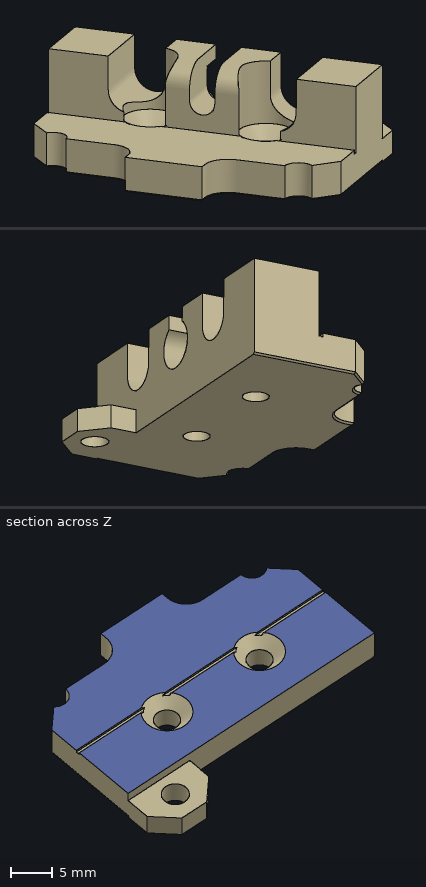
import cadquery as cq

width = 40.0
back_y = 22.0
base_height = 4.5
tab_width = 10.0
tab_depth = 4.0
tab_fillet = 3.0
corner_cut = 4.0
notch_radius = 1.75
bottom_chamfer = 0.25

total_height = 12.5
block_depth = 9.0
groove_width = 0.5
groove_depth = 0.5

ear_width = 10.0
ear_length = 6.5
ear_height = 3.0
ear_cut = 3.0
ear_hole_diameter = 3.4
ear_hole_setback = 3.5

channel_spacing = 19.05
channel_width = 5.4
channel_floor = 5.5
slot_width = 3.3
slot_floor = 6.4
post_fillet = 3.0
counterbore_diameter = 6.0
counterbore_depth = 3.0

screw_spacing = 15.0
screw_y = 15.0
screw_diameter = 3.3
screw_head_diameter = 6.7

half_width = width / 2
block_front_y = back_y - block_depth
through = 2 * total_height


def box(x_min, x_max, y_min, y_max, z_min, z_max):
    size = (x_max - x_min, y_max - y_min, z_max - z_min)
    return cq.Workplane("XY").box(*size, centered=False).translate((x_min, y_min, z_min))


def rod(diameter, x, y):
    """Vertical cylinder passing through the whole part."""
    return cq.Workplane("XY").center(x, y).circle(diameter / 2).extrude(through)


def make_base():
    half_tab = tab_width / 2
    plate = (
        cq.Workplane("XY")
        .moveTo(-half_width, back_y)
        .lineTo(-half_width, 2 * tab_depth)
        .lineTo(-half_width + corner_cut, tab_depth)
        .lineTo(-half_tab, tab_depth)
        .lineTo(-half_tab, 0)
        .lineTo(half_tab, 0)
        .lineTo(half_tab, tab_depth)
        .lineTo(half_width - corner_cut, tab_depth)
        .lineTo(half_width, 2 * tab_depth)
        .lineTo(half_width, back_y)
        .close()
        .extrude(base_height)
    )
    inner_corners = cq.selectors.BoxSelector(
        (-half_tab - 0.4, tab_depth - 0.4, 0), (half_tab + 0.4, tab_depth + 0.4, base_height)
    )
    plate = plate.edges("|Z").edges(inner_corners).fillet(tab_fillet)
    for side in (-1, 1):
        plate = plate.cut(rod(2 * notch_radius, side * (half_width - corner_cut), tab_depth))
    return plate.faces("<Z").edges().edges("not(>Y)").chamfer(bottom_chamfer)


def make_block():
    return box(-half_width, half_width, block_front_y, back_y, base_height, total_height)


def make_groove():
    return box(
        -half_width, half_width, block_front_y - groove_width, block_front_y,
        base_height - groove_depth, base_height,
    )


def make_ear():
    ear_end_y = back_y + ear_length
    ear = box(half_width - ear_width, half_width, back_y, ear_end_y, 0, ear_height)
    ear = ear.edges("|Z and >Y").chamfer(ear_cut)
    return ear.cut(rod(ear_hole_diameter, half_width - ear_width / 2, ear_end_y - ear_hole_setback))


def make_channel(x, channel_size, floor):
    """U-shaped cutter along Y, open at the top of the block."""
    radius = channel_size / 2
    bottom = (
        cq.Workplane("XZ", origin=(x, back_y, floor + radius))
        .circle(radius)
        .extrude(block_depth)
    )
    opening = box(x - radius, x + radius, block_front_y, back_y, floor + radius, total_height)
    return bottom.union(opening)


def make_counterbore():
    """Round recess in the back face, concentric with the floor of the middle slot."""
    return (
        cq.Workplane("XZ", origin=(0, back_y, slot_floor + slot_width / 2))
        .circle(counterbore_diameter / 2)
        .extrude(counterbore_depth)
    )


def make_post_rounding():
    """Cutter that rounds the top front edge of the posts between the screws."""
    half_span = screw_spacing / 2
    arc_z = total_height - post_fillet
    arc_y = block_front_y + post_fillet
    corner = box(-half_span, half_span, block_front_y, arc_y, arc_z, total_height)
    round_bar = (
        cq.Workplane("YZ", origin=(-half_span, arc_y, arc_z))
        .circle(post_fillet)
        .extrude(screw_spacing)
    )
    return corner.cut(round_bar)


def make_screw_cutter(x):
    """Through hole, 90 degree countersink and head clearance above the base."""
    head_radius = screw_head_diameter / 2
    screw_radius = screw_diameter / 2
    return (
        cq.Workplane("XZ", origin=(x, screw_y, 0))
        .lineTo(screw_radius, 0)
        .lineTo(screw_radius, base_height - head_radius + screw_radius)
        .lineTo(head_radius, base_height)
        .lineTo(head_radius, total_height)
        .lineTo(0, total_height)
        .close()
        .revolve(360, (0, 0), (0, 1))
    )


result = make_base().union(make_block()).union(make_ear())
result = result.cut(make_groove()).cut(make_post_rounding())
result = result.cut(make_channel(0, slot_width, slot_floor)).cut(make_counterbore())
for side in (-1, 1):
    result = result.cut(make_channel(side * channel_spacing / 2, channel_width, channel_floor))
    result = result.cut(make_screw_cutter(side * screw_spacing / 2))